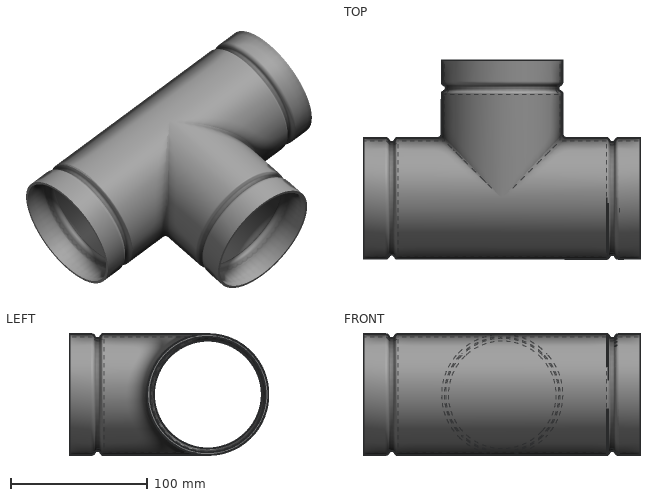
import cadquery as cq
import math

reach = 101.5
outer_radius = 89.0 / 2
bore_radius = 85.0 / 2
wall = outer_radius - bore_radius
weld_radius = 2.6

groove_radius = 83.1 / 2
groove_depth = outer_radius - groove_radius
groove_start = 15.6

front_shoulder_length = 3.0
front_root_length = 1.2
front_angle = 2 * math.atan(groove_depth / (front_shoulder_length + front_root_length))
front_shoulder_radius = front_shoulder_length / math.sin(front_angle)
front_root_radius = front_root_length / math.sin(front_angle)

floor_length = 1.2
back_angle = math.radians(54)
back_radius = 1.5
back_arc_length = back_radius * math.sin(back_angle)
back_arc_drop = back_radius * (1 - math.cos(back_angle))
back_slope_length = (groove_depth - 2 * back_arc_drop) / math.tan(back_angle)

floor_start = groove_start + front_shoulder_length + front_root_length
floor_end = floor_start + floor_length
groove_end = floor_end + 2 * back_arc_length + back_slope_length

bead_radius = 79.0 / 2
crest_radius = back_radius + wall
crest_center = (floor_end, bead_radius + crest_radius)
bead_front_angle = math.radians(45)


def arc_point(center, radius, angle):
    """Point on an arc as (distance along pipe, radius from pipe axis).

    The angle is measured from the outward radial direction. A negative radius gives the
    side of the circle that faces the pipe axis.
    """
    return (center[0] + radius * math.sin(angle), center[1] + radius * math.cos(angle))


def add_arc(profile, center, radius, start_angle, end_angle):
    middle = arc_point(center, radius, (start_angle + end_angle) / 2)
    return profile.threePointArc(middle, arc_point(center, radius, end_angle))


def revolve_about_pipe(profile):
    return profile.close().revolve(360, (0, 0, 0), (1, 0, 0))


def groove_ring():
    """Material removed from the outside of one leg, with the pipe end at the origin."""
    front_shoulder_center = (groove_start, outer_radius - front_shoulder_radius)
    front_root_center = (floor_start, groove_radius + front_root_radius)
    back_root_center = (floor_end, groove_radius + back_radius)
    back_shoulder_center = (groove_end, outer_radius - back_radius)
    clearance_radius = outer_radius + wall

    profile = cq.Workplane("XY").moveTo(groove_start, outer_radius)
    profile = add_arc(profile, front_shoulder_center, front_shoulder_radius, 0, front_angle)
    profile = add_arc(profile, front_root_center, -front_root_radius, front_angle, 0)
    profile = profile.lineTo(floor_end, groove_radius)
    profile = add_arc(profile, back_root_center, -back_radius, 0, -back_angle)
    profile = profile.lineTo(*arc_point(back_shoulder_center, back_radius, -back_angle))
    profile = add_arc(profile, back_shoulder_center, back_radius, -back_angle, 0)
    profile = profile.lineTo(groove_end, clearance_radius).lineTo(groove_start, clearance_radius)
    return revolve_about_pipe(profile)


def bore_core():
    """Hollow of one leg from its end to the crossing, necked in at the bead."""
    shoulder_end = arc_point(crest_center, -crest_radius, bead_front_angle)
    shoulder_end_direction = (math.cos(bead_front_angle), -math.sin(bead_front_angle))
    crest_end = arc_point(crest_center, -crest_radius, -back_angle)
    slope_end = crest_end[0] + (bore_radius - crest_end[1]) / math.tan(back_angle)

    profile = cq.Workplane("XY").lineTo(0, bore_radius).lineTo(groove_start, bore_radius)
    profile = profile.spline([shoulder_end], tangents=[(1, 0), shoulder_end_direction], includeCurrent=True)
    profile = add_arc(profile, crest_center, -crest_radius, bead_front_angle, -back_angle)
    profile = profile.lineTo(slope_end, bore_radius).lineTo(reach, bore_radius).lineTo(reach, 0)
    return revolve_about_pipe(profile)


def place_on_legs(leg_shape):
    """Copies of a leg shape on the -X, +X and +Y legs."""
    left = leg_shape.translate((-reach, 0, 0))
    return [left.rotate((0, 0, 0), (0, 0, 1), turn) for turn in (0, 180, -90)]


def grooved_tee():
    run = cq.Workplane("YZ").circle(outer_radius).extrude(reach, both=True)
    branch = cq.Workplane("XZ").circle(outer_radius).extrude(-reach)
    tee = run.union(branch)
    for ring in place_on_legs(groove_ring()):
        tee = tee.cut(ring)
    return tee


def lies_on_seam(edge):
    """True for the elliptical edges where branch and run cross, in the planes x = y and x = -y."""
    center = edge.Center()
    on_diagonal = abs(abs(center.x) - center.y) < weld_radius and center.y > weld_radius
    return on_diagonal and edge.geomType() != "CIRCLE"


def weld_seams(tee):
    seams = [edge for edge in tee.edges().vals() if lies_on_seam(edge)]
    return tee.newObject(seams).fillet(weld_radius)


left_core, right_core, branch_core = place_on_legs(bore_core())
hollow = left_core.union(right_core).union(branch_core)
result = weld_seams(grooved_tee()).cut(hollow)